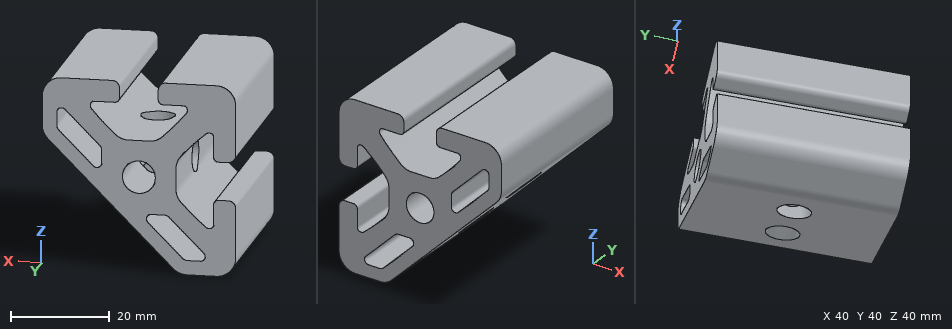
import cadquery as cq

SIZE = 40.0
HALF = SIZE / 2
OUTER_RADIUS = 4.0

CUT_OFFSET = 11.75
CUT_RADIUS = 4.0

MOUTH_HALF_WIDTH = 4.0
LIP_THICKNESS = 4.55
LIP_OUTER_RADIUS = 1.5
LIP_INNER_RADIUS = 1.0
SLOT_HALF_WIDTH = 10.0
SLOT_CORNER_RADIUS = 0.8
SLOT_FLOOR = 7.7
FLOOR_HALF_WIDTH = 2.2
FLOOR_ARC_END = (4.8, 8.7)
WALL_TOP = 14.1
WALL_TOP_RADIUS = 0.8

POCKET_INNER_OFFSET = 1.85
POCKET_OUTER_OFFSET = 7.5
POCKET_NEAR = SLOT_FLOOR
POCKET_FAR = 16.95
POCKET_ACUTE_RADIUS = 1.0
POCKET_OBTUSE_RADIUS = 1.5

BORE_DIAMETER = 6.8
CROSS_HOLE_DIAMETER = 7.0


def round_edge(body, x, z, radius):
    """Round the lengthwise edge at (x, z)."""
    edge = cq.selectors.NearestToPointSelector((x, 0, z))
    return body.edges("|Y").edges(edge).fillet(radius)


def rounded_prism(corners):
    """Extrude an XZ polygon of (x, z, radius) corners through the part, rounding each corner."""
    points = [(x, z) for x, z, _ in corners]
    prism = cq.Workplane("XZ").polyline(points).close().extrude(HALF, both=True)
    for x, z, radius in corners:
        prism = round_edge(prism, x, z, radius)
    return prism


def swap_sides(corners):
    """Reflect (x, z, radius) corners across the profile's diagonal, X = -Z."""
    return [(-z, -x, radius) for x, z, radius in corners]


def half_slot():
    """The +X half of the T-slot void in the +Z face."""
    lip_inside = HALF - LIP_THICKNESS
    void = (
        cq.Workplane("XZ")
        .moveTo(0, HALF)
        .lineTo(0, SLOT_FLOOR)
        .lineTo(FLOOR_HALF_WIDTH, SLOT_FLOOR)
        .tangentArcPoint(FLOOR_ARC_END, relative=False)
        .tangentArcPoint((SLOT_HALF_WIDTH, WALL_TOP), relative=False)
        .lineTo(SLOT_HALF_WIDTH, lip_inside)
        .lineTo(MOUTH_HALF_WIDTH, lip_inside)
        .lineTo(MOUTH_HALF_WIDTH, HALF)
        .close()
        .extrude(HALF, both=True)
    )
    void = round_edge(void, SLOT_HALF_WIDTH, WALL_TOP, WALL_TOP_RADIUS)
    void = round_edge(void, SLOT_HALF_WIDTH, lip_inside, SLOT_CORNER_RADIUS)
    return round_edge(void, MOUTH_HALF_WIDTH, lip_inside, LIP_INNER_RADIUS)


def cut_slot(body, turn):
    """Cut a T-slot into the +Z face turned about Y by the given angle, and round its mouth."""
    half = half_slot()
    slot = half.union(half.mirror("YZ"))
    axis = ((0, 0, 0), (0, 1, 0))
    body = body.rotate(*axis, -turn).cut(slot)
    for x in (-MOUTH_HALF_WIDTH, MOUTH_HALF_WIDTH):
        body = round_edge(body, x, HALF, LIP_OUTER_RADIUS)
    return body.rotate(*axis, turn)


outline_corners = [
    (HALF, HALF - CUT_OFFSET, CUT_RADIUS),
    (HALF, HALF, OUTER_RADIUS),
    (-HALF, HALF, OUTER_RADIUS),
    (-HALF, -HALF, OUTER_RADIUS),
    (CUT_OFFSET - HALF, -HALF, CUT_RADIUS),
]

pocket_corners = [
    (POCKET_FAR, POCKET_FAR - POCKET_INNER_OFFSET, POCKET_ACUTE_RADIUS),
    (POCKET_FAR, POCKET_FAR - POCKET_OUTER_OFFSET, POCKET_OBTUSE_RADIUS),
    (POCKET_NEAR, POCKET_NEAR - POCKET_OUTER_OFFSET, POCKET_ACUTE_RADIUS),
    (POCKET_NEAR, POCKET_NEAR - POCKET_INNER_OFFSET, POCKET_OBTUSE_RADIUS),
]

result = rounded_prism(outline_corners)
for turn in (0, -90):
    result = cut_slot(result, turn)
for corners in (pocket_corners, swap_sides(pocket_corners)):
    result = result.cut(rounded_prism(corners))

for plane, diameter in (
    ("XZ", BORE_DIAMETER),
    ("XY", CROSS_HOLE_DIAMETER),
    ("YZ", CROSS_HOLE_DIAMETER),
):
    hole = cq.Workplane(plane).circle(diameter / 2).extrude(HALF, both=True)
    result = result.cut(hole)